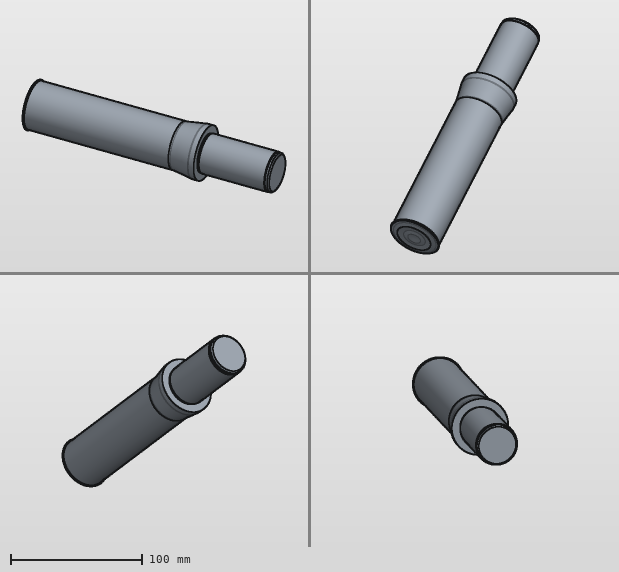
import cadquery as cq

rim_start = 1.0
rim_bulge = 1.2
rim_widest = 1.9
rim_end = 2.7
cutting_length = 124.2
cone_start = 125.5
cone_end = 141.4
collar_start = 142.0
collar_end = 146.8
neck_end = 147.5
shank_start = 148.5
shank_end = 203.3
pilot_start = 203.9
chamfer_start = 205.8
total_length = 207.0

center_ridge_diameter = 10.5
valley_diameter = 18.0
outer_ridge_diameter = 27.7
face_diameter = 35.5
bulge_diameter = 39.1
rim_diameter = 40.4
body_diameter = 39.0
cone_end_diameter = 43.9
collar_diameter = 44.0
shank_diameter = 32.0
relief_diameter = 31.5

center_depth = 0.6
valley_depth = 0.6

end_chamfer = total_length - chamfer_start


def revolve_about_x(outline):
    """Turn an outline of (x, diameter) points, closed along the axis, into a solid."""
    start_x = outline[0][0]
    end_x = outline[-1][0]
    points = [(x, diameter / 2) for x, diameter in outline]
    profile = cq.Workplane("XY").polyline(points)
    if outline[-1][1] > 0:
        profile = profile.lineTo(end_x, 0)
    if outline[0][1] > 0:
        profile = profile.lineTo(start_x, 0)
    return profile.close().revolve(360, (0, 0, 0), (1, 0, 0))


def make_cutting_body():
    """Drill body: a face with two ring ridges, a raised bevelled rim and a long cylinder."""
    return revolve_about_x([
        (center_depth, 0),
        (0, center_ridge_diameter),
        (valley_depth, valley_diameter),
        (0, outer_ridge_diameter),
        (rim_start, face_diameter),
        (rim_bulge, bulge_diameter),
        (rim_widest, rim_diameter),
        (rim_end, body_diameter),
        (cutting_length, body_diameter),
    ])


def make_holder():
    """Holder: a flared cone and collar, then a shank with a bevelled neck and a chamfered pilot end."""
    return revolve_about_x([
        (cutting_length, body_diameter),
        (cone_start, body_diameter),
        (cone_end, cone_end_diameter),
        (collar_start, collar_diameter),
        (collar_end, collar_diameter),
        (collar_end, relief_diameter),
        (neck_end, relief_diameter),
        (shank_start, shank_diameter),
        (shank_end, shank_diameter),
        (pilot_start, relief_diameter),
        (chamfer_start, relief_diameter),
        (total_length, relief_diameter - 2 * end_chamfer),
    ])


cutting_body = make_cutting_body()
holder = make_holder()

result = cq.Compound.makeCompound([cutting_body.val(), holder.val()])